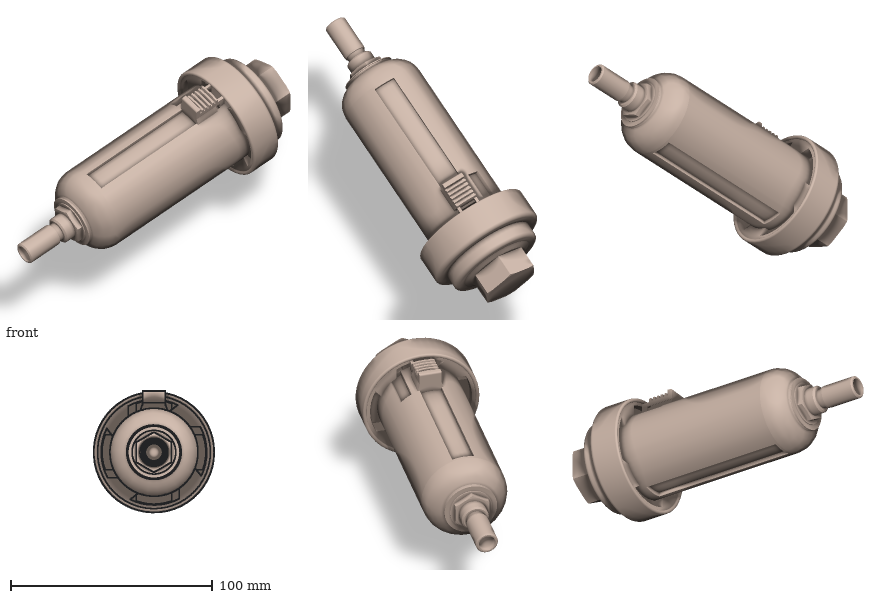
import cadquery as cq
import math


PORT_HEX_FLATS = 27.0
PORT_HEX_END = 11.8
PORT_HEX_CHAMFER_DIAMETER = 28.5
PORT_HEX_CHAMFER = 0.6
CONE_TOP_DIAMETER = 31.3
CONE_BASE_DIAMETER = 37.9
CONE_START = 11.5
CAP_DIAMETER = 48.0
CAP_START = 13.0
COLLAR_DIAMETER = 60.0
COLLAR_START = 21.0
COLLAR_END = 37.5
SHOULDER_FILLET = 2.0
BEAD_RADIUS = 1.0
FLANGE_FACE = COLLAR_END - BEAD_RADIUS

LUG_COUNT = 4
LUG_RADIUS = 25.8
LUG_START = 29.2
LUG_FACE = 33.7
LUG_HALF_WIDTH = 8.7
NOTCH_RADIUS = 26.2
NOTCH_SQUARE_END = 12.6
BAYONET_INNER_OFFSET = 17.0
BAYONET_OUTER_OFFSET = 27.5
NOTCH_SLANT_INNER = 3.5
NOTCH_SLANT_OUTER = 17.0

BOWL_RADIUS = 21.9
BOWL_START = 22.7
DOME_START = 118.0
DOME_ARC_RADIUS = 11.7
DOME_END = 129.1
END_NECK_RADIUS = 13.0
END_NECK_START = 130.0
END_DISC_DIAMETER = 27.0
END_DISC_THICKNESS = 0.5
BOWL_END = 131.0
SLOT_HALF_WIDTH = 5.7
CUT_FLOOR_RADIUS = 19.8
SLOT_START = 39.2
SLOT_END = 116.5
POCKET_INNER_X = -9.7
POCKET_FLOOR_X = -14.0

GUIDE_START = 41.6
GUIDE_END = 54.5
GUIDE_TOP = 24.6
GUIDE_TOP_HALF_WIDTH = 5.5
GUIDE_LOW = 20.9
GUIDE_LOW_HALF_WIDTH = 6.6

BUTTON_HALF_WIDTH = 5.7
BUTTON_TOP = 30.5
BUTTON_WALL_START = 51.8
BUTTON_FILLET = 1.0
ARM_RADIUS = 27.5
ARM_INNER = 4.2
ARM_HOOK_END = 39.4
DECK_START = 40.5
DECK_RADIUS = 27.9
TOOTH_COUNT = 5
TOOTH_PITCH = 2.3
TOOTH_BASE = 1.6
TOOTH_TIP = 1.0
TOOTH_RADIUS = 29.5
WEB_STEP = 23.0
WEB_FOOT_HALF_WIDTH = 4.9

FITTING_FLANGE_DIAMETER = 21.7
FITTING_FLANGE_END = 131.5
DRAIN_HEX_FLATS = 17.3
DRAIN_HEX_CHAMFER_DIAMETER = 17.3
DRAIN_HEX_CHAMFER = 0.5
DRAIN_HEX_END = 134.5
DRAIN_COLLAR_DIAMETER = 14.0
DRAIN_COLLAR_END = 140.3
DRAIN_COLLAR_CHAMFER = 0.8
NECK_DIAMETER = 9.7
NECK_END = 143.0
TUBE_DIAMETER = 11.3
TUBE_BACK_TAPER_LENGTH = 1.0
TUBE_BACK_TAPER_DEPTH = 0.2
TUBE_TIP_CHAMFER = 0.6
TUBE_END = 162.0
DRAIN_HOLE_DIAMETER = 8.6


def section(station):
    """Workplane across the axis at a station; extrusions from it run toward -Y."""
    return cq.Workplane("XZ", origin=(0, -station, 0))


def cylinder(radius, start, end):
    return section(start).circle(radius).extrude(end - start)


def block(x_min, x_max, start, end, z_min, z_max):
    size = (x_max - x_min, end - start, z_max - z_min)
    return cq.Workplane("XY").box(*size, centered=False).translate((x_min, -end, z_min))


def revolved(points):
    """Turn a closed outline of (radius, station) points about the Y axis."""
    outline = cq.Workplane("XY").polyline([(radius, -station) for radius, station in points]).close()
    return outline.revolve(360, (0, 0, 0), (0, 1, 0))


def hexagon(flats, start, end):
    """Hexagonal prism with two corners on the Z axis."""
    corners = flats / math.cos(math.pi / 6)
    return section(start).polygon(6, corners).extrude(end - start).rotate((0, 0, 0), (0, 1, 0), 30)


def hex_end_cone(flats, end_diameter, chamfer, end_station, far_station):
    """Solid that trims the corners of a hexagon toward its end station."""
    corner_radius = flats / math.sqrt(3) + chamfer
    inward = math.copysign(chamfer, far_station - end_station)
    return revolved([
        (0, end_station),
        (end_diameter / 2, end_station),
        (corner_radius, end_station + inward),
        (corner_radius, far_station),
        (0, far_station),
    ])


def bayonet_ring(radius, arm_outline, start, end):
    """Equal arms around the axis, cut from the given outline of the lowest arm and rounded outside."""
    arm = section(start).polyline(arm_outline).close().extrude(end - start)
    arm = arm.intersect(cylinder(radius, start, end))
    arms = arm
    for index in range(1, LUG_COUNT):
        arms = arms.union(arm.rotate((0, 0, 0), (0, 1, 0), index * 360 / LUG_COUNT))
    return arms


def make_notches():
    """Cover notches, each with one square end and one slanted end."""
    outline = [
        (NOTCH_SQUARE_END, -BAYONET_INNER_OFFSET),
        (NOTCH_SQUARE_END, -BAYONET_OUTER_OFFSET),
        (-NOTCH_SLANT_OUTER, -BAYONET_OUTER_OFFSET),
        (-NOTCH_SLANT_INNER, -BAYONET_INNER_OFFSET),
    ]
    return bayonet_ring(NOTCH_RADIUS, outline, LUG_START, COLLAR_END)


def make_lugs():
    """Bowl lugs, square at both ends and trimmed to stay inside the notches."""
    outline = [
        (LUG_HALF_WIDTH, -BAYONET_INNER_OFFSET),
        (LUG_HALF_WIDTH, -BAYONET_OUTER_OFFSET),
        (-LUG_HALF_WIDTH, -BAYONET_OUTER_OFFSET),
        (-LUG_HALF_WIDTH, -BAYONET_INNER_OFFSET),
    ]
    lugs = bayonet_ring(LUG_RADIUS, outline, LUG_START, LUG_FACE)
    return lugs.intersect(make_notches().union(cylinder(BOWL_RADIUS, LUG_START, LUG_FACE)))


def make_pocket():
    """Curved pocket beside the button, between an upright wall and a wall along a radius at 45 degrees."""
    outline = [
        (POCKET_INNER_X, BOWL_RADIUS),
        (POCKET_INNER_X, -POCKET_FLOOR_X),
        (POCKET_FLOOR_X, -POCKET_FLOOR_X),
        (-BOWL_RADIUS, BOWL_RADIUS),
    ]
    wedge = section(LUG_FACE).polyline(outline).close().extrude(GUIDE_END - LUG_FACE)
    return wedge.cut(cylinder(CUT_FLOOR_RADIUS, LUG_FACE, GUIDE_END))


def make_cover():
    hex_trim = hex_end_cone(PORT_HEX_FLATS, PORT_HEX_CHAMFER_DIAMETER, PORT_HEX_CHAMFER, 0, CAP_START)
    port_hex = hexagon(PORT_HEX_FLATS, 0, PORT_HEX_END).intersect(hex_trim)
    cone = revolved([
        (0, CONE_START),
        (CONE_TOP_DIAMETER / 2, CONE_START),
        (CONE_BASE_DIAMETER / 2, CAP_START),
        (0, CAP_START),
    ])
    cap = cylinder(CAP_DIAMETER / 2, CAP_START, COLLAR_START).faces(">Y").edges().fillet(SHOULDER_FILLET)
    collar = cylinder(COLLAR_DIAMETER / 2, COLLAR_START, FLANGE_FACE)
    collar = collar.faces(">Y").edges().fillet(SHOULDER_FILLET)
    bead = (
        cq.Workplane("XY")
        .center(COLLAR_DIAMETER / 2 - BEAD_RADIUS, -FLANGE_FACE)
        .circle(BEAD_RADIUS)
        .revolve(360, (BEAD_RADIUS - COLLAR_DIAMETER / 2, 0, 0), (BEAD_RADIUS - COLLAR_DIAMETER / 2, 1, 0))
    )
    cover = collar.union(bead).union(cap).union(cone).union(port_hex)
    cover = cover.cut(cylinder(BOWL_RADIUS, BOWL_START, COLLAR_END))
    return cover.cut(make_notches())


def make_bowl_blank():
    """Turned bowl with a rounded end and an end disc."""
    arc_center = BOWL_RADIUS - DOME_ARC_RADIUS

    def dome_point(station):
        axial = station - DOME_START
        return (arc_center + math.sqrt(DOME_ARC_RADIUS**2 - axial**2), -station)

    return (
        cq.Workplane("XY")
        .moveTo(0, -BOWL_START)
        .lineTo(BOWL_RADIUS, -BOWL_START)
        .lineTo(BOWL_RADIUS, -DOME_START)
        .threePointArc(dome_point((DOME_START + DOME_END) / 2), dome_point(DOME_END))
        .lineTo(END_NECK_RADIUS, -END_NECK_START)
        .lineTo(END_NECK_RADIUS, END_DISC_THICKNESS - BOWL_END)
        .lineTo(END_DISC_DIAMETER / 2, END_DISC_THICKNESS - BOWL_END)
        .lineTo(END_DISC_DIAMETER / 2, -BOWL_END)
        .lineTo(0, -BOWL_END)
        .close()
        .revolve(360, (0, 0, 0), (0, 1, 0))
    )


def make_bowl():
    slots = block(
        -SLOT_HALF_WIDTH, SLOT_HALF_WIDTH, SLOT_START, SLOT_END, -BAYONET_OUTER_OFFSET, BAYONET_OUTER_OFFSET
    ).cut(cylinder(CUT_FLOOR_RADIUS, SLOT_START, SLOT_END))
    guide_outline = [
        (-GUIDE_LOW_HALF_WIDTH, GUIDE_LOW),
        (-GUIDE_TOP_HALF_WIDTH, GUIDE_TOP),
        (GUIDE_TOP_HALF_WIDTH, GUIDE_TOP),
        (GUIDE_LOW_HALF_WIDTH, GUIDE_LOW),
        (0, BAYONET_INNER_OFFSET),
    ]
    guide = section(GUIDE_START).polyline(guide_outline).close().extrude(GUIDE_END - GUIDE_START)
    return make_bowl_blank().cut(slots).union(make_lugs()).union(guide).cut(make_pocket())


def make_button_deck():
    """Ribbed deck, curved about the main axis, on a flat underside."""
    outline = [(0, FLANGE_FACE), (ARM_RADIUS, FLANGE_FACE), (ARM_RADIUS, DECK_START)]
    for index in range(TOOTH_COUNT):
        base = DECK_START + index * TOOTH_PITCH
        side = (TOOTH_BASE - TOOTH_TIP) / 2
        outline += [
            (DECK_RADIUS, base),
            (TOOTH_RADIUS, base + side),
            (TOOTH_RADIUS, base + side + TOOTH_TIP),
            (DECK_RADIUS, base + TOOTH_BASE),
        ]
    outline += [(DECK_RADIUS, GUIDE_END), (0, GUIDE_END)]
    envelope = block(
        -BUTTON_HALF_WIDTH, BUTTON_HALF_WIDTH, FLANGE_FACE, GUIDE_END, GUIDE_TOP, BUTTON_TOP
    )
    return revolved(outline).intersect(envelope)


def make_button():
    deck = make_button_deck()
    wall = block(-BUTTON_HALF_WIDTH, BUTTON_HALF_WIDTH, BUTTON_WALL_START, GUIDE_END, GUIDE_TOP, BUTTON_TOP)
    wall = wall.edges("<Y and >Z").fillet(BUTTON_FILLET)
    arm_gap = block(-ARM_INNER, ARM_INNER, FLANGE_FACE, DECK_START, GUIDE_TOP, BUTTON_TOP)
    button = deck.cut(arm_gap).union(wall)
    for x_min in (-BUTTON_HALF_WIDTH, ARM_INNER):
        x_max = x_min + BUTTON_HALF_WIDTH - ARM_INNER
        button = button.union(block(x_min, x_max, FLANGE_FACE, ARM_HOOK_END, BOWL_RADIUS, GUIDE_TOP + 1.6))
    web = block(-ARM_INNER, ARM_INNER, ARM_HOOK_END, GUIDE_START, BOWL_RADIUS, GUIDE_TOP)
    foot = block(-WEB_FOOT_HALF_WIDTH, WEB_FOOT_HALF_WIDTH, ARM_HOOK_END, GUIDE_START, BOWL_RADIUS, WEB_STEP)
    return button.union(web).union(foot)


def make_fitting():
    flange = cylinder(FITTING_FLANGE_DIAMETER / 2, BOWL_END, FITTING_FLANGE_END)
    hex_trim = hex_end_cone(
        DRAIN_HEX_FLATS, DRAIN_HEX_CHAMFER_DIAMETER, DRAIN_HEX_CHAMFER, DRAIN_HEX_END, BOWL_END
    )
    drain_hex = hexagon(DRAIN_HEX_FLATS, FITTING_FLANGE_END, DRAIN_HEX_END).intersect(hex_trim)
    collar = cylinder(DRAIN_COLLAR_DIAMETER / 2, DRAIN_HEX_END, DRAIN_COLLAR_END)
    collar = collar.faces("<Y").edges().chamfer(DRAIN_COLLAR_CHAMFER)
    neck = cylinder(NECK_DIAMETER / 2, DRAIN_COLLAR_END, NECK_END)
    tube = cylinder(TUBE_DIAMETER / 2, NECK_END, TUBE_END)
    tube = tube.faces(">Y").edges().chamfer(TUBE_BACK_TAPER_LENGTH, TUBE_BACK_TAPER_DEPTH)
    tube = tube.faces("<Y").edges().chamfer(TUBE_TIP_CHAMFER)
    fitting = flange.union(drain_hex).union(collar).union(neck).union(tube)
    return fitting.cut(cylinder(DRAIN_HOLE_DIAMETER / 2, NECK_END, TUBE_END))


cover = make_cover()
bowl = make_bowl()
button = make_button()
fitting = make_fitting()

result = cq.Compound.makeCompound([cover.val(), bowl.val(), button.val(), fitting.val()])